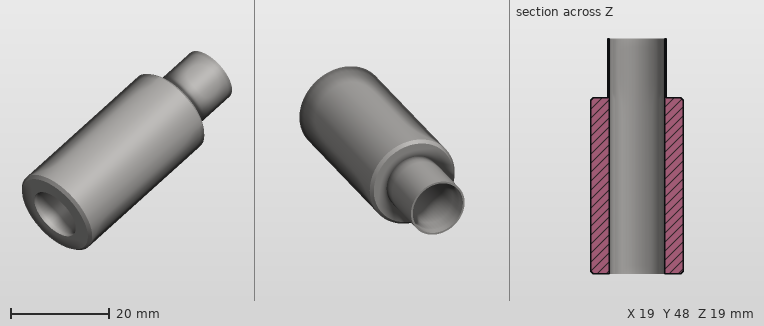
import cadquery as cq

total_length = 48.0
neck_length = 12.0
body_length = total_length - neck_length
body_diameter = 19.0
neck_diameter = 12.0
bore_diameter = 11.2
chamfer_size = 0.6


def cylinder_along_y(diameter, length, start_y=0.0):
    """Solid cylinder running in +Y from start_y."""
    return (
        cq.Workplane("XZ", origin=(0, start_y, 0))
        .circle(diameter / 2)
        .extrude(-length)
    )


body = cylinder_along_y(body_diameter, body_length).faces("<Y or >Y").edges().chamfer(chamfer_size)

neck = cylinder_along_y(neck_diameter, neck_length, body_length)

bore = cylinder_along_y(bore_diameter, total_length)

result = body.union(neck).cut(bore)